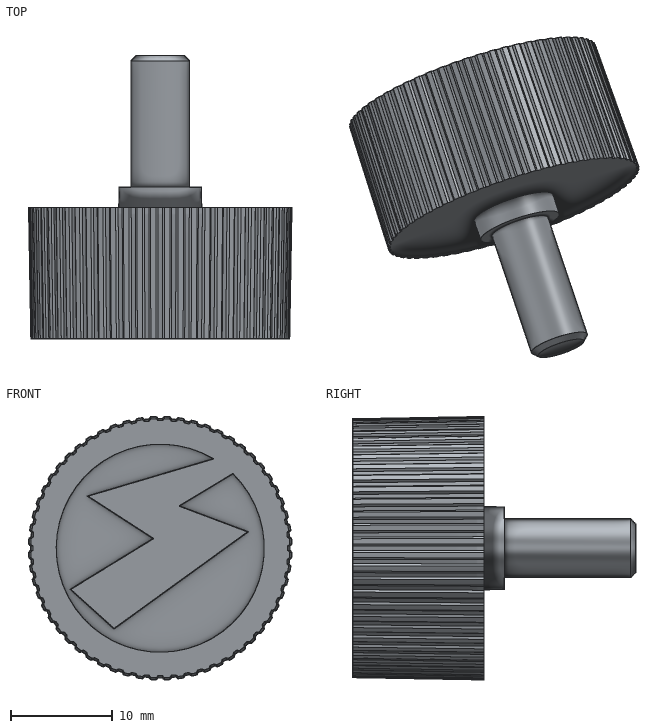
import cadquery as cq
import math

total_length = 28.0
knob_length = 13.0
collar_length = 2.02
shank_length = total_length - knob_length - collar_length

knob_back_radius = 13.02
draft_angle = 1.0
knob_front_radius = knob_back_radius - knob_length * math.tan(math.radians(draft_angle))
groove_count = 60
groove_depth = 0.2
groove_mouth_width = 0.8
groove_floor_width = groove_mouth_width - 2 * groove_depth

collar_base_radius = 4.12
collar_end_radius = collar_base_radius - collar_length * math.tan(math.radians(draft_angle))

shank_radius = 2.9
shank_chamfer = 0.53

pocket_radius = 10.28
pocket_depth = 0.5
bolt_draft_angle = 5.0
bolt_foot_outline = [
    (8.05, 9.7),
    (-7.22, 5.15),
    (-0.73, 0.95),
    (-8.9, -4.05),
    (-4.55, -7.98),
    (8.7, 1.62),
    (1.93, 4.17),
    (9.97, 9.02),
]


def front_plane(y):
    """Plane at depth y whose local axes are +X and +Z; it extrudes towards -Y."""
    return cq.Plane(origin=(0, y, 0), xDir=(1, 0, 0), normal=(0, -1, 0))


def on_circle(radius, angle):
    return radius * math.cos(angle), radius * math.sin(angle)


def knurled_wire(radius, y):
    """Closed outline of round lands separated by straight-sided grooves."""
    floor_radius = radius - groove_depth
    mouth_half_angle = math.asin(groove_mouth_width / 2 / radius)
    floor_half_angle = math.asin(groove_floor_width / 2 / floor_radius)
    pitch = 2 * math.pi / groove_count

    outline = cq.Workplane(front_plane(y)).moveTo(*on_circle(radius, -mouth_half_angle))
    for index in range(groove_count):
        middle = index * pitch
        outline = outline.lineTo(*on_circle(floor_radius, middle - floor_half_angle))
        outline = outline.lineTo(*on_circle(floor_radius, middle + floor_half_angle))
        outline = outline.lineTo(*on_circle(radius, middle + mouth_half_angle))
        outline = outline.threePointArc(
            on_circle(radius, middle + pitch / 2),
            on_circle(radius, middle + pitch - mouth_half_angle),
        )
    return outline.close().val()


def make_knurled_body():
    front = knurled_wire(knob_front_radius, 0)
    back = knurled_wire(knob_back_radius, knob_length)
    return cq.Workplane(cq.Solid.makeLoft([front, back], True))


def make_collar():
    return cq.Workplane(
        cq.Solid.makeCone(
            collar_base_radius,
            collar_end_radius,
            collar_length,
            pnt=cq.Vector(0, knob_length, 0),
            dir=cq.Vector(0, 1, 0),
        )
    )


def make_pocket_cutter():
    """Round recess less the bolt, whose sides slope out towards the pocket floor."""
    floor = front_plane(pocket_depth)
    recess = cq.Workplane(floor).circle(pocket_radius).extrude(pocket_depth)
    bolt = (
        cq.Workplane(floor)
        .polyline(bolt_foot_outline)
        .close()
        .extrude(pocket_depth, taper=bolt_draft_angle)
    )
    return recess.cut(bolt)


def make_knob():
    return make_knurled_body().union(make_collar()).cut(make_pocket_cutter())


def make_stud():
    """Plain shank standing on the collar, chamfered at its free end."""
    return (
        cq.Workplane(front_plane(knob_length + collar_length))
        .circle(shank_radius)
        .extrude(-shank_length)
        .faces(">Y")
        .chamfer(shank_chamfer)
    )


knob = make_knob()
stud = make_stud()

result = cq.Compound.makeCompound([knob.val(), stud.val()])